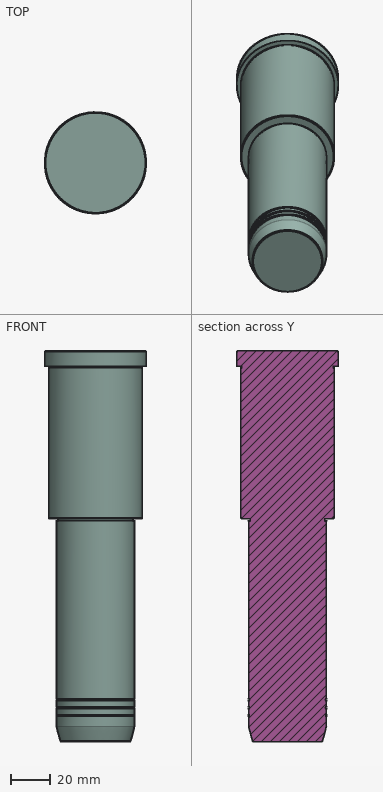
import cadquery as cq

total_length = 200.0

head_diameter = 52.0
head_height = 8.0
head_top_chamfer = 0.5

body_diameter = 48.0
body_bottom_z = 114.0
head_relief_diameter = 47.0
head_relief_width = 0.8
body_edge_chamfer = 0.5

shank_diameter = 40.0
neck_diameter = 38.5
neck_width = 1.0

groove_depth = 0.5
groove_count = 3
groove_pitch = 4.0
lowest_groove_center_z = 13.5

nose_height = 8.0
nose_end_diameter = 36.0
nose_bulge = 0.15
nose_edge_chamfer = 0.5

head_bottom_z = total_length - head_height


def cylinder(diameter, bottom_z, top_z):
    """Solid cylinder on the Z axis between two heights."""
    return cq.Workplane("XY").workplane(offset=bottom_z).circle(diameter / 2).extrude(top_z - bottom_z)


def ring_cut(outer_diameter, floor_diameter, bottom_z, width):
    """Square-sided ring that cuts a shaft down to the floor diameter."""
    outer = cylinder(outer_diameter, bottom_z, bottom_z + width)
    return outer.cut(cylinder(floor_diameter, bottom_z, bottom_z + width))


def vee_groove(center_z):
    """V-groove cutter, twice as wide as it is deep, around the shank."""
    return (
        cq.Workplane("XZ")
        .center(shank_diameter / 2, center_z)
        .polyline([(0, -groove_depth), (-groove_depth, 0), (0, groove_depth)])
        .close()
        .revolve(360, (-shank_diameter / 2, 0), (-shank_diameter / 2, 1))
    )


def nose():
    """Tapered nose with a slightly bulging side and a chamfered end."""
    top_radius = shank_diameter / 2
    end_radius = nose_end_diameter / 2
    middle_radius = (top_radius + end_radius) / 2 + nose_bulge
    middle_z = (nose_height + nose_edge_chamfer) / 2
    return (
        cq.Workplane("XZ")
        .lineTo(end_radius - nose_edge_chamfer, 0)
        .lineTo(end_radius, nose_edge_chamfer)
        .threePointArc((middle_radius, middle_z), (top_radius, nose_height))
        .lineTo(0, nose_height)
        .close()
        .revolve(360, (0, 0), (0, 1))
    )


head = cylinder(head_diameter, head_bottom_z, total_length).faces(">Z").chamfer(head_top_chamfer)
body = cylinder(body_diameter, body_bottom_z, head_bottom_z).faces("<Z").chamfer(body_edge_chamfer)
shank = cylinder(shank_diameter, nose_height, body_bottom_z)

relief_bottom_z = head_bottom_z - head_relief_width
body = body.cut(ring_cut(body_diameter, head_relief_diameter, relief_bottom_z, head_relief_width))

shank = shank.cut(ring_cut(shank_diameter, neck_diameter, body_bottom_z - neck_width, neck_width))

for index in range(groove_count):
    shank = shank.cut(vee_groove(lowest_groove_center_z + index * groove_pitch))

result = head.union(body).union(shank).union(nose())